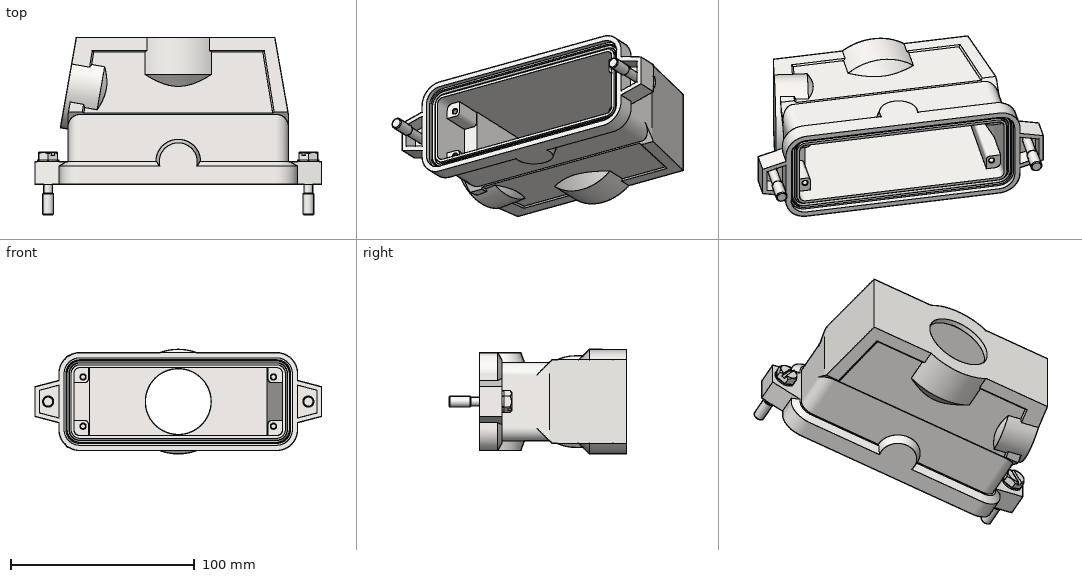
import cadquery as cq
import math


flange_half_x = 65.0
flange_half_z = 26.7
flange_radius = 11.5
flange_height = 12.3
flange_slope_height = 2.4
flange_slope_angle = 30.0
flange_slope_width = flange_slope_height / math.tan(math.radians(flange_slope_angle))

body_half_x = 60.0
body_half_z = 21.4
body_radius = 6.8

hood_top = 80.0
hood_half_z = 22.8
hood_taper = 10.0
hood_taper_start = 38.0
hood_slope = math.tan(math.radians(hood_taper))
hood_top_half_x = body_half_x - (hood_top - hood_taper_start) * hood_slope
hood_underside = 38.1
hood_root_half_z = 10.0

panel_half_z = 22.0
panel_top = 72.8
panel_top_half_x = 46.8
panel_taper = 9.2

top_boss_radius = 28.5
top_boss_end = 59.8
top_hole_radius = 17.85
side_boss_radius = 25.0
side_boss_length = 18.0
side_boss_x = -59.84
side_boss_y = 55.4

pad_outer_radius = 10.3
pad_base_radius = 12.2

cavity_inset = 8.2
seat_inset = 2.9
seat_depth = 3.0
groove_outer_inset = 3.9
groove_inner_inset = 6.7
groove_depth = 1.5
bead_inset = 5.05
bead_radius = 0.68
bead_rise = 0.5
cavity_top = 77.0
cavity_top_half_x = 48.4

post_inner_x = 48.9
post_inner_z = 10.3
post_radius = 2.0
post_end = 12.5
post_hole_x = 51.8
post_hole_z = 13.4
post_hole_radius = 1.35
post_hole_depth = 12.0
post_countersink = 0.35

lug_end_x = 78.0
lug_end_half_z = 8.1
lug_root_half_z = 11.5
lug_wall = 2.5
lug_floor = 3.0

screw_x = 70.8
screw_tip = -16.6
neck_radius = 2.5
thread_radius = 3.0
thread_start = -4.7
thread_chamfer = 0.5
washer_radius = 5.8
washer_height = 0.9
head_height = 5.3
head_sides = 6
head_across_flats = 10.3
head_chamfer = 1.0
slot_width = 1.9
slot_depth = 2.0
slot_angle = 120.0


def along_y(y_start):
    """Workplane at a given height whose local axes are X and Z."""
    return cq.Workplane("XZ", origin=(0, y_start, 0))


def rounded_block(half_x, half_z, radius, y_start, y_end):
    block = along_y(y_start).rect(2 * half_x, 2 * half_z).extrude(y_start - y_end)
    return block.edges("|Y").fillet(radius)


def inset_block(inset, y_start, y_end):
    """Block whose outline follows the flange outline at a constant inset."""
    return rounded_block(
        flange_half_x - inset, flange_half_z - inset, flange_radius - inset, y_start, y_end
    )


def cylinder_y(x, z, radius, y_start, y_end):
    return along_y(y_start).center(x, z).circle(radius).extrude(y_start - y_end)


def slab_z(points, half_z):
    """Slab with an outline in X and Y, centred on z = 0."""
    return cq.Workplane("XY").polyline(points).close().extrude(half_z, both=True)


def outline_sketch(inset):
    """Flange outline at a constant inset."""
    width = 2 * (flange_half_x - inset)
    depth = 2 * (flange_half_z - inset)
    return cq.Sketch().rect(width, depth).vertices().fillet(flange_radius - inset)


def make_flange():
    """Rim with a sloping band around its upper side."""
    slope_start = flange_height - flange_slope_height
    base = inset_block(0, 0, slope_start)
    slope = (
        along_y(slope_start)
        .placeSketch(
            outline_sketch(0),
            outline_sketch(flange_slope_width).moved(cq.Location((0, 0, -flange_slope_height))),
        )
        .loft()
    )
    return base.union(slope)


def make_grip_pads():
    """Cones growing outward from the body side, one on each broad side."""
    pad_height = flange_half_z - body_half_z
    pads = cq.Workplane("XY")
    for side in (1, -1):
        cone = cq.Solid.makeCone(
            pad_base_radius,
            pad_outer_radius,
            pad_height,
            cq.Vector(0, flange_height, side * body_half_z),
            cq.Vector(0, 0, side),
        )
        pads = pads.add(cone)
    return pads.combine()


def hood_outline():
    return [
        (-body_half_x, flange_height),
        (body_half_x, flange_height),
        (body_half_x, hood_taper_start),
        (hood_top_half_x, hood_top),
        (-hood_top_half_x, hood_top),
        (-body_half_x, hood_taper_start),
    ]


def make_hood():
    """Tapered hood whose underside runs back into the body at 45 degrees."""
    side_profile = slab_z(hood_outline(), hood_half_z)
    overhang = hood_half_z - body_half_z
    hidden_y = hood_underside - (body_half_z - hood_root_half_z)
    half_outline = [
        (hidden_y, hood_root_half_z),
        (hood_underside + overhang, hood_half_z),
        (hood_top, hood_half_z),
    ]
    mirrored = [(y, -z) for y, z in reversed(half_outline)]
    end_profile = (
        cq.Workplane("YZ").polyline(half_outline + mirrored).close().extrude(body_half_x, both=True)
    )
    return side_profile.intersect(end_profile)


def panel_outline(inset):
    """Panel edge; it runs out through the underside of the hood."""
    slope = math.tan(math.radians(panel_taper))
    top = panel_top - inset
    top_half_x = panel_top_half_x - inset
    bottom_half_x = top_half_x + (top - flange_height) * slope
    return [
        (-bottom_half_x, flange_height),
        (bottom_half_x, flange_height),
        (top_half_x, top),
        (-top_half_x, top),
    ]


def sink_panels(hood):
    depth = hood_half_z - panel_half_z
    for side in (1, -1):
        cutter = (
            cq.Workplane("XY", origin=(0, 0, side * panel_half_z))
            .polyline(panel_outline(depth))
            .close()
            .workplane(offset=side * depth)
            .polyline(panel_outline(0))
            .close()
            .loft(ruled=True)
        )
        hood = hood.cut(cutter)
    return hood


def coned_boss(radius, length, start, direction):
    """Cylinder that ends in a 45 degree cone."""
    cylinder = cq.Solid.makeCylinder(radius, length, start, direction)
    cone_start = start + direction.normalized() * length
    cone = cq.Solid.makeCone(radius, 0, radius, cone_start, direction)
    return cq.Workplane(cylinder).union(cq.Workplane(cone))


def make_top_boss():
    return coned_boss(
        top_boss_radius,
        hood_top - top_boss_end,
        cq.Vector(0, hood_top, 0),
        cq.Vector(0, -1, 0),
    )


def make_side_boss():
    """Blank entry boss, square to the sloping -X end wall, with a block reaching the hood top."""
    boss = coned_boss(
        side_boss_radius,
        side_boss_length,
        cq.Vector(side_boss_x, side_boss_y, 0),
        cq.Vector(1, -hood_slope, 0),
    )
    block_outline = [
        (side_boss_x, side_boss_y),
        (side_boss_x + (hood_top - side_boss_y) * hood_slope, hood_top),
        (-hood_top_half_x, hood_top),
        (-hood_top_half_x, side_boss_y),
    ]
    above_hood = cylinder_y(
        side_boss_x, 0, 2 * side_boss_radius, hood_top, hood_top + side_boss_radius
    )
    return boss.cut(above_hood).union(slab_z(block_outline, hood_half_z))


def lug_outline(end_x, end_half_z, root_x, slope):
    root_half_z = end_half_z + (end_x - root_x) * slope
    return [
        (root_x, -root_half_z),
        (end_x, -end_half_z),
        (end_x, end_half_z),
        (root_x, root_half_z),
    ]


def make_lug():
    """Hollow trapezoidal lug on the +X end, open toward the mating face."""
    slope = (lug_root_half_z - lug_end_half_z) / (lug_end_x - flange_half_x)
    pocket_end_x = lug_end_x - lug_wall
    side_wall = lug_wall * math.hypot(1, slope)
    pocket_end_half_z = lug_end_half_z + lug_wall * slope - side_wall
    outer = lug_outline(lug_end_x, lug_end_half_z, body_half_x, slope)
    inner = lug_outline(pocket_end_x, pocket_end_half_z, flange_half_x, slope)
    lug = along_y(0).polyline(outer).close().extrude(-flange_height)
    pocket = along_y(0).polyline(inner).close().extrude(lug_floor - flange_height)
    return lug.cut(pocket)


def make_screw():
    """Slotted hexagon head screw standing in the +X lug."""
    head_top = flange_height + head_height
    neck = cylinder_y(screw_x, 0, neck_radius, thread_start, flange_height)
    thread = cylinder_y(screw_x, 0, thread_radius, screw_tip, thread_start)
    thread = thread.faces("<Y or >Y").chamfer(thread_chamfer)
    washer = cylinder_y(
        screw_x, 0, washer_radius, flange_height, flange_height + washer_height
    )
    half_corner_angle = 180.0 / head_sides
    across_corners = head_across_flats / math.cos(math.radians(half_corner_angle))
    head = (
        along_y(flange_height)
        .center(screw_x, 0)
        .transformed(rotate=(0, 0, half_corner_angle))
        .polygon(head_sides, across_corners)
        .extrude(-head_height)
    )
    rounding = cylinder_y(screw_x, 0, across_corners / 2, flange_height, head_top)
    head = head.intersect(rounding.faces(">Y").chamfer(head_chamfer))
    slot = (
        along_y(head_top)
        .center(screw_x, 0)
        .transformed(rotate=(0, 0, slot_angle))
        .rect(2 * across_corners, slot_width)
        .extrude(slot_depth)
    )
    return neck.union(thread).union(washer).union(head.cut(slot))


def make_post():
    """Carrier post in the +X +Z corner, with a countersunk screw hole."""
    outer_x = flange_half_x - cavity_inset
    outer_z = flange_half_z - cavity_inset
    width_x = outer_x - post_inner_x
    width_z = outer_z - post_inner_z
    post = (
        along_y(post_end)
        .center(post_inner_x + width_x / 2, post_inner_z + width_z / 2)
        .rect(width_x, width_z)
        .extrude(post_end - cavity_top)
        .edges("|Y and <X and <Z")
        .fillet(post_radius)
    )
    hole = cylinder_y(
        post_hole_x, post_hole_z, post_hole_radius, post_end, post_end + post_hole_depth
    )
    countersink = cq.Solid.makeCone(
        post_hole_radius + post_countersink,
        post_hole_radius,
        post_countersink,
        cq.Vector(post_hole_x, post_end, post_hole_z),
        cq.Vector(0, 1, 0),
    )
    return post.cut(hole).cut(cq.Workplane(countersink))


def make_cavity():
    """Interior space, less the four posts.

    Toward the hood top it narrows with a slope at the +X end and a step at the -X end.
    """
    half_x = flange_half_x - cavity_inset
    taper_start = cavity_top - (half_x - cavity_top_half_x) / hood_slope
    outline = [
        (-half_x, 0),
        (half_x, 0),
        (half_x, taper_start),
        (cavity_top_half_x, cavity_top),
        (-cavity_top_half_x, cavity_top),
        (-cavity_top_half_x, taper_start),
        (-half_x, taper_start),
    ]
    cavity = inset_block(cavity_inset, 0, cavity_top)
    cavity = cavity.intersect(slab_z(outline, flange_half_z))
    post = make_post()
    post_pair = post.union(post.mirror("XY"))
    return cavity.cut(post_pair).cut(post_pair.mirror("YZ"))


def make_bead(y_centre):
    """Round bead following the flange outline."""
    block = inset_block(bead_inset, y_centre, y_centre + bead_radius)
    path = block.faces("<Y").wires()
    section_plane = cq.Workplane("YZ", origin=(0, y_centre, flange_half_z - bead_inset))
    return section_plane.circle(bead_radius).sweep(path)


def make_seal_seat():
    """Recess at the cavity mouth with a groove that leaves a rounded sealing bead standing."""
    seat = inset_block(seat_inset, 0, seat_depth)
    groove_floor = seat_depth + groove_depth
    groove = inset_block(groove_outer_inset, seat_depth, groove_floor).cut(
        inset_block(groove_inner_inset, seat_depth, groove_floor)
    )
    return seat.union(groove).cut(make_bead(groove_floor - bead_rise))


body = rounded_block(body_half_x, body_half_z, body_radius, 0, hood_underside)
hood = sink_panels(make_hood())
lug = make_lug()
screw = make_screw()

shell = (
    body.union(hood)
    .union(make_flange())
    .union(make_grip_pads())
    .union(make_top_boss())
    .union(make_side_boss())
    .union(lug)
    .union(lug.mirror("YZ"))
)
shell = shell.cut(make_cavity()).cut(make_seal_seat())
shell = shell.cut(cylinder_y(0, 0, top_hole_radius, cavity_top, hood_top))

result = shell.union(screw).union(screw.mirror("YZ"))